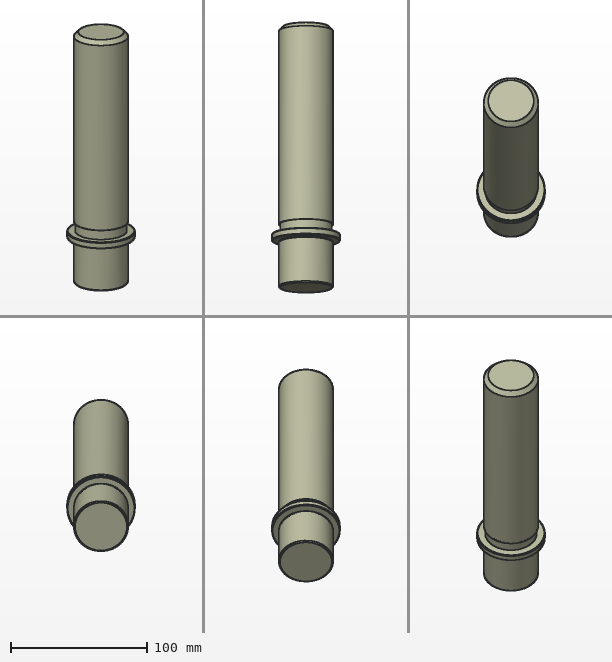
import cadquery as cq

total_length = 195.0
post_diameter = 40.0
neck_diameter = 38.0
collar_diameter = 50.0

base_top = 34.0
collar_bottom = 35.0
collar_thickness = 5.0
post_bottom = 47.4

tip_chamfer = 3.3
base_chamfer = 1.0
collar_chamfer = 0.5


def cylinder(diameter, bottom, top):
    """Upright cylinder on the Z axis between two heights."""
    return cq.Workplane("XY").workplane(offset=bottom).circle(diameter / 2).extrude(top - bottom)


base = cylinder(post_diameter, 0, base_top).faces("<Z").edges().chamfer(base_chamfer)

neck = cylinder(neck_diameter, base_top, post_bottom)

collar_top = collar_bottom + collar_thickness
collar = cylinder(collar_diameter, collar_bottom, collar_top)
collar = collar.faces("<Z or >Z").edges().chamfer(collar_chamfer)

post = cylinder(post_diameter, post_bottom, total_length).faces(">Z").edges().chamfer(tip_chamfer)

result = base.union(neck).union(collar).union(post)